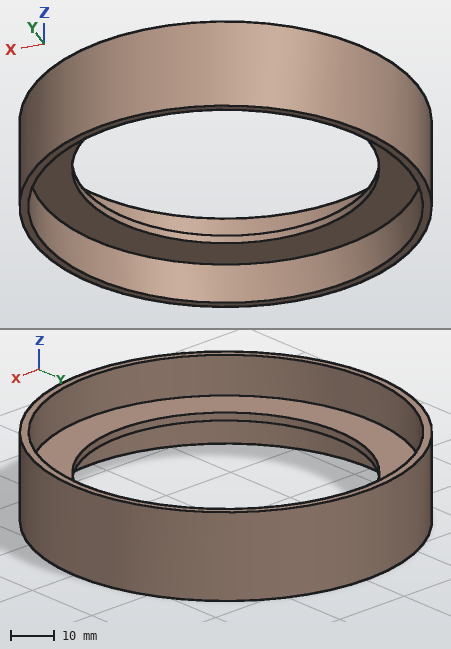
import cadquery as cq

outer_diameter = 94.0
height = 22.0
recess_diameter = 90.0
bore_diameter = 70.0
upper_recess_depth = 10.1
web_thickness = 2.0

web_top = height - upper_recess_depth
web_bottom = web_top - web_thickness


def cylinder(diameter, bottom, top):
    """Upright cylinder centred on the ring axis."""
    return cq.Workplane("XY").workplane(offset=bottom).circle(diameter / 2).extrude(top - bottom)


body = cylinder(outer_diameter, 0, height)
upper_recess = cylinder(recess_diameter, web_top, height)
lower_recess = cylinder(recess_diameter, 0, web_bottom)
bore = cylinder(bore_diameter, 0, height)

result = body.cut(upper_recess).cut(lower_recess).cut(bore)